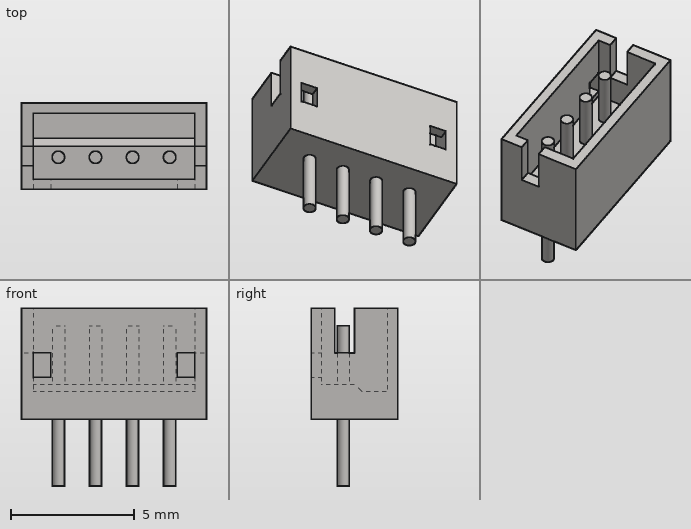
import cadquery as cq

LENGTH = 7.5
DEPTH = 3.5
HEIGHT = 4.5

SIDE_WALL = 0.49
FRONT_WALL = 0.41
BACK_WALL = 0.42
FRONT_FLOOR_Z = 1.425
BACK_FLOOR_Z = 1.125
RAMP_FRONT_Y = 1.74
RAMP_BACK_Y = 2.06

SLOT_FRONT_Y = 0.95
SLOT_WIDTH = 0.795
SLOT_DEPTH = 1.815

WINDOW_WIDTH = 0.71
WINDOW_HEIGHT = 1.005
WINDOW_BOTTOM_Z = 1.695

PIN_COUNT = 4
PIN_PITCH = 1.5
PIN_DIAMETER = 0.5
PIN_Y = 1.3
CONTACT_TOP_Z = 3.79
TAIL_LENGTH = 2.7

CAVITY_LENGTH = LENGTH - 2 * SIDE_WALL


def corner_box(length, depth, height, y, z):
    """Box centred on X, starting at the given Y and Z."""
    return cq.Workplane("XY").box(length, depth, height, centered=(True, False, False)).translate((0, y, z))


def make_cavity():
    """Cavity volume: its side profile extruded between the end walls."""
    back_y = DEPTH - BACK_WALL
    profile = [
        (FRONT_WALL, HEIGHT),
        (FRONT_WALL, FRONT_FLOOR_Z),
        (RAMP_FRONT_Y, FRONT_FLOOR_Z),
        (RAMP_BACK_Y, BACK_FLOOR_Z),
        (back_y, BACK_FLOOR_Z),
        (back_y, HEIGHT),
    ]
    return cq.Workplane("YZ").polyline(profile).close().extrude(CAVITY_LENGTH / 2, both=True)


def make_housing():
    """Open box with end slots and two front windows."""
    body = corner_box(LENGTH, DEPTH, HEIGHT, 0, 0).cut(make_cavity())
    body = body.cut(corner_box(LENGTH, SLOT_WIDTH, SLOT_DEPTH, SLOT_FRONT_Y, HEIGHT - SLOT_DEPTH))
    window = corner_box(WINDOW_WIDTH, FRONT_WALL, WINDOW_HEIGHT, 0, WINDOW_BOTTOM_Z)
    window_x = (CAVITY_LENGTH - WINDOW_WIDTH) / 2
    for x in (-window_x, window_x):
        body = body.cut(window.translate((x, 0, 0)))
    return body


def make_pin(x, bottom_z, top_z):
    """Round vertical pin in the pin row."""
    pin = cq.Workplane("XY").circle(PIN_DIAMETER / 2).extrude(top_z - bottom_z)
    return pin.translate((x, PIN_Y, bottom_z))


housing = make_housing()
contacts = []
tails = []
for index in range(PIN_COUNT):
    pin_x = (index - (PIN_COUNT - 1) / 2) * PIN_PITCH
    contacts.append(make_pin(pin_x, FRONT_FLOOR_Z, CONTACT_TOP_Z).val())
    tails.append(make_pin(pin_x, -TAIL_LENGTH, 0).val())

result = cq.Compound.makeCompound([housing.val(), *contacts, *tails])